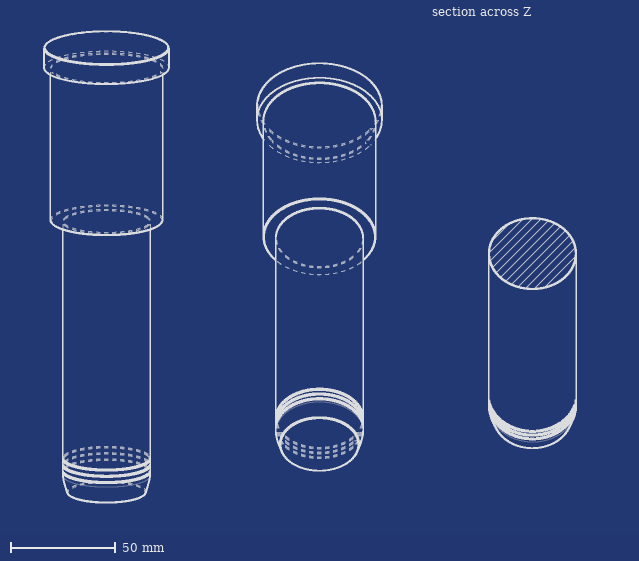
import cadquery as cq

length = 221.0

head_radius = 60.0 / 2
head_height = 10.0
head_bottom = length - head_height
head_chamfer = 0.5

body_radius = 54.0 / 2
body_bottom = 135.0
body_chamfer = 0.5

shank_radius = 42.0 / 2
nose_height = 8.6
nose_tip_radius = 19.0
nose_arc_radius = 44.2
tip_chamfer = 0.5

relief_width = 0.7
relief_depth = 0.2

groove_count = 3
groove_width = 0.7
groove_depth = 0.5
groove_pitch = 3.0
lowest_groove_bottom = 10.4


def cylinder(radius, bottom, top):
    """Solid round bar on the Z axis between two heights."""
    return cq.Workplane("XY").workplane(offset=bottom).circle(radius).extrude(top - bottom)


def make_shank():
    """Shank with a convex arc running in to a narrower flat tip."""
    return (
        cq.Workplane("XZ")
        .lineTo(nose_tip_radius - tip_chamfer, 0)
        .lineTo(nose_tip_radius, tip_chamfer)
        .radiusArc((shank_radius, nose_height), -nose_arc_radius)
        .lineTo(shank_radius, body_bottom)
        .lineTo(0, body_bottom)
        .close()
        .revolve(360, (0, 0, 0), (0, 1, 0))
    )


def make_ring(outer_radius, depth, bottom, width):
    """Ring that cuts a groove of the given depth into a bar of the given radius."""
    top = bottom + width
    return cylinder(outer_radius, bottom, top).cut(cylinder(outer_radius - depth, bottom, top))


head = cylinder(head_radius, head_bottom, length).faces(">Z").edges().chamfer(head_chamfer)

body = cylinder(body_radius, body_bottom, head_bottom).faces("<Z").edges().chamfer(body_chamfer)
body = body.cut(make_ring(body_radius, relief_depth, head_bottom - relief_width, relief_width))

shank = make_shank()
shank = shank.cut(make_ring(shank_radius, relief_depth, body_bottom - relief_width, relief_width))
for index in range(groove_count):
    groove_bottom = lowest_groove_bottom + index * groove_pitch
    shank = shank.cut(make_ring(shank_radius, groove_depth, groove_bottom, groove_width))

result = shank.union(body).union(head)